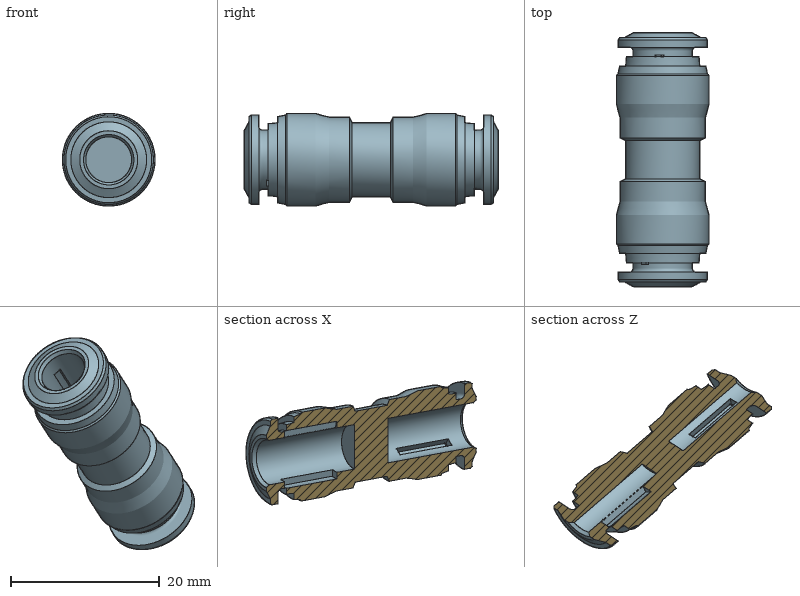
import cadquery as cq

length = 34.2
half_length = length / 2

nose_radius = 3.9
cone_radius = 5.1
cone_depth = 0.65
flange_radius = 6.02
flange_chamfer_width = 0.25
flange_chamfer_depth = 1.0
flange_back_depth = 2.0
neck_radius = 4.0
neck_flare = 0.5

collar_front_radius = 4.9
collar_radius = 5.0
collar_depth = 3.25
shoulder_depth = 4.5
shoulder_front_radius = 5.8
shoulder_back_radius = 6.02
shoulder_bevel_depth = 5.57
body_radius = 6.24
body_depth = 5.78
body_taper_depth = 9.6
hub_radius = 5.75
hub_depth = 11.45
hub_end_depth = 14.15
waist_radius = 5.0
waist_depth = 14.55

mouth_radius = 3.4
mouth_depth = 0.5
socket_radius = 3.08
socket_depth = 14.35
slot_width = 1.13
slot_reveal = 0.2
slot_end_depth = hub_depth
slots_per_end = 2
front_slot_angle = 37.0
back_slot_angle = 6.5


def half_body():
    """Revolve the half of the connector on the +Y side about the Y axis."""

    def point(radius, depth):
        return radius, half_length - depth

    profile = (
        cq.Workplane("XY")
        .moveTo(*point(0, half_length))
        .lineTo(*point(0, socket_depth))
        .lineTo(*point(socket_radius, socket_depth))
        .lineTo(*point(socket_radius, mouth_depth))
        .lineTo(*point(mouth_radius, 0))
        .lineTo(*point(nose_radius, 0))
        .lineTo(*point(cone_radius, cone_depth))
        .lineTo(*point(flange_radius - flange_chamfer_width, cone_depth))
        .lineTo(*point(flange_radius, flange_chamfer_depth))
        .lineTo(*point(flange_radius, flange_back_depth))
        .lineTo(*point(neck_radius + neck_flare, flange_back_depth))
        .radiusArc(point(neck_radius, flange_back_depth + neck_flare), -neck_flare)
        .lineTo(*point(neck_radius, collar_depth))
        .lineTo(*point(collar_front_radius, collar_depth))
        .lineTo(*point(collar_radius, shoulder_depth))
        .lineTo(*point(shoulder_front_radius, shoulder_depth))
        .lineTo(*point(shoulder_back_radius, shoulder_bevel_depth))
        .lineTo(*point(body_radius, body_depth))
        .lineTo(*point(body_radius, body_taper_depth))
        .lineTo(*point(hub_radius, hub_depth))
        .lineTo(*point(hub_radius, hub_end_depth))
        .lineTo(*point(waist_radius, waist_depth))
        .lineTo(*point(waist_radius, half_length))
        .close()
    )
    return profile.revolve(360, (0, 0, 0), (0, 1, 0))


def wall_slots(end_sign, first_angle):
    """Slots through the neck wall, running under the collar and ending before the socket floor."""
    slot_start = collar_depth - slot_reveal
    slot_length = slot_end_depth - slot_start
    slot_center = half_length - slot_start - slot_length / 2
    slot = cq.Workplane("XY").box(slot_width, slot_length, neck_radius, centered=(True, True, False))
    slot = slot.translate((0, end_sign * slot_center, 0))
    limit = cq.Workplane("XZ").circle(neck_radius).extrude(half_length, both=True)
    slot = slot.intersect(limit)
    slots = cq.Workplane("XY")
    for index in range(slots_per_end):
        angle = first_angle + index * 360 / slots_per_end
        slots = slots.add(slot.rotate((0, 0, 0), (0, 1, 0), -angle))
    return slots.combine()


back_half = half_body()
front_half = back_half.rotate((0, 0, 0), (1, 0, 0), 180)
connector = back_half.union(front_half)
connector = connector.cut(wall_slots(1, back_slot_angle))
result = connector.cut(wall_slots(-1, front_slot_angle))